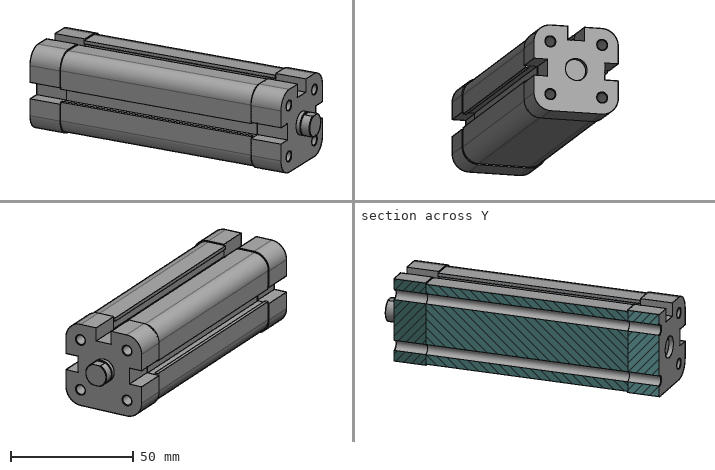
import cadquery as cq

total_length = 123.0
rod_reach = 6.3
cap_length = 14.0
cap_end = total_length - rod_reach
profile_length = cap_end - 2 * cap_length

cap_width = 36.0
cap_corner_radius = 7.1
cap_slot_width = 7.1
cap_slot_depth = 5.8

profile_setback = 0.5
profile_width = cap_width - 2 * profile_setback
profile_corner_radius = cap_corner_radius - profile_setback
profile_floor_rise = 0.4
profile_slot_depth = cap_slot_depth - profile_setback - profile_floor_rise
chamber_width = cap_slot_width
mouth_width = 5.7
lip_thickness = 1.5

bolt_offset = 11.1
bolt_hole_diameter = 4.2
bolt_chamfer = 0.2

recess_diameter = 9.2
recess_depth = 2.0

rod_diameter = 10.0
rod_chamfer = 0.2
groove_start = 1.7
groove_width = 0.4
groove_depth = 0.1
across_flats = 9.1
flat_length = 4.0

SLOT_ANGLES = (0, 90, -90)


def rounded_bar(start, length, width, corner_radius):
    """Square bar along X with rounded long edges."""
    bar = cq.Workplane("YZ", origin=(start, 0, 0)).rect(width, width).extrude(length)
    return bar.edges("|X").fillet(corner_radius)


def slot_cutter(start, length, slot_width, top, bottom):
    """Rectangular bar along X that cuts a slot between two heights on the top side."""
    height = top - bottom
    cutter = cq.Workplane("YZ", origin=(start, 0, (top + bottom) / 2))
    return cutter.rect(slot_width, height).extrude(length)


def cut_on_slotted_sides(body, cutter):
    """Cut one slot shape into the top and both sides of a body."""
    for angle in SLOT_ANGLES:
        body = body.cut(cutter.rotate((0, 0, 0), (1, 0, 0), angle))
    return body


def drill_bolt_holes(body, start, length):
    """Drill the four tie-bolt holes along X."""
    spacing = 2 * bolt_offset
    centres = cq.Workplane("YZ", origin=(start, 0, 0)).rect(spacing, spacing, forConstruction=True).vertices()
    return body.cut(centres.circle(bolt_hole_diameter / 2).extrude(length))


def make_cap(start):
    """End cap with three slots and four bolt holes."""
    cap = rounded_bar(start, cap_length, cap_width, cap_corner_radius)
    top = cap_width / 2
    slot = slot_cutter(start, cap_length, cap_slot_width, top, top - cap_slot_depth)
    cap = cut_on_slotted_sides(cap, slot)
    return drill_bolt_holes(cap, start, cap_length)


def chamfer_bolt_holes(cap, outer_face):
    """Chamfer the bolt holes at the outer face of a cap; they have its smallest round edges."""
    smallest_radius = cq.selectors.RadiusNthSelector(0)
    return cap.faces(outer_face).edges("%CIRCLE").edges(smallest_radius).chamfer(bolt_chamfer)


def make_rear_cap():
    """Rear cap with the centring recess in its outer face."""
    cap = chamfer_bolt_holes(make_cap(0), "<X")
    return cap.cut(cq.Workplane("YZ").circle(recess_diameter / 2).extrude(recess_depth))


def make_front_cap():
    """Front cap with the bore that guides the rod."""
    start = cap_end - cap_length
    cap = chamfer_bolt_holes(make_cap(start), ">X")
    return cap.cut(cq.Workplane("YZ", origin=(start, 0, 0)).circle(rod_diameter / 2).extrude(cap_length))


def make_profile():
    """Profile between the caps, with a lipped slot on three sides."""
    profile = rounded_bar(cap_length, profile_length, profile_width, profile_corner_radius)
    top = profile_width / 2
    floor = top - profile_slot_depth
    mouth = slot_cutter(cap_length, profile_length, mouth_width, top, floor)
    chamber = slot_cutter(cap_length, profile_length, chamber_width, top - lip_thickness, floor)
    profile = cut_on_slotted_sides(profile, mouth.union(chamber))
    return drill_bolt_holes(profile, cap_length, profile_length)


def make_rod():
    """Rod in the front cap, with a shallow groove and two wrench flats on its nose."""
    start = cap_end - cap_length
    rod_length = total_length - start
    radius = rod_diameter / 2
    rod = cq.Workplane("YZ", origin=(start, 0, 0)).circle(radius).extrude(rod_length)
    rod = rod.faces(">X").chamfer(rod_chamfer)
    groove = cq.Workplane("YZ", origin=(cap_end + groove_start, 0, 0))
    groove = groove.circle(radius).circle(radius - groove_depth).extrude(groove_width)
    rod = rod.cut(groove)
    flat_centre = total_length - flat_length / 2
    for side in (1, -1):
        cutter = cq.Workplane("XY").box(flat_length, rod_diameter, radius)
        rod = rod.cut(cutter.translate((flat_centre, 0, side * (across_flats + radius) / 2)))
    return rod


rear_cap = make_rear_cap()
profile = make_profile()
front_cap = make_front_cap()
rod = make_rod()

result = cq.Compound.makeCompound([rear_cap.val(), profile.val(), front_cap.val(), rod.val()])